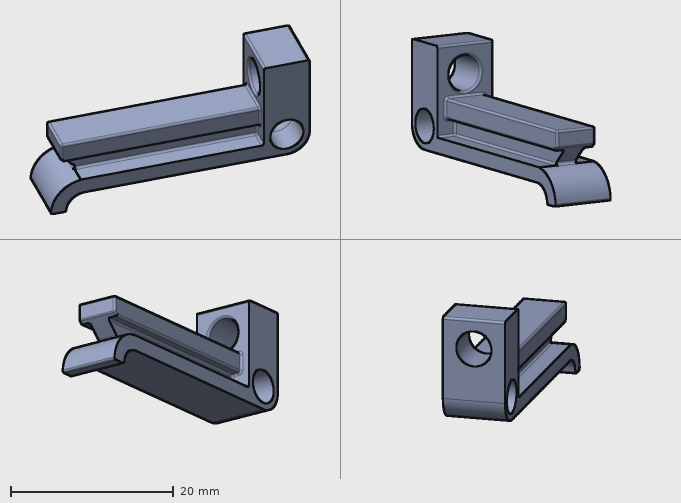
import cadquery as cq
import math

width = 8.0
block_depth = 6.0
block_height = 13.5
arm_thickness = 2.0
arm_end_y = -23.8
edge_radius = 0.3

hook_inner_radius = 2.39
hook_outer_radius = hook_inner_radius + arm_thickness
hook_tip_y = -27.69
hook_center_y = hook_tip_y + hook_outer_radius
hook_center_z = -hook_inner_radius

pin_diameter = 4.3
pin_center_y = block_depth / 2
pin_center_z = block_depth / 2
bore_diameter = 4.5
bore_center_z = 9.7

head_width = 5.6
head_top_z = 6.8
head_bottom_z = 4.2
stem_width = 2.8
stem_end_y = -23.7
rail_end_y = -26.0
undercut_top_z = 4.65
toe_overlap = 0.5

diagonal = math.sqrt(0.5)
tolerance = 0.01


def box(x_size, y_range, z_range):
    """Box centred on the mid plane, between two Y and two Z limits."""
    y_min, y_max = y_range
    z_min, z_max = z_range
    solid = cq.Workplane("XY").box(x_size, y_max - y_min, z_max - z_min, centered=(True, False, False))
    return solid.translate((0, y_min, z_min))


def hook_point(radius, angle):
    """(Y, Z) on a circle about the hook centre; angle in degrees from the tip toward the arm."""
    turn = math.radians(angle)
    return (hook_center_y - radius * math.cos(turn), hook_center_z + radius * math.sin(turn))


def make_body():
    """Block, arm and hook as one side outline, extruded across the width."""
    seam_angle = math.degrees(math.acos((hook_center_y - arm_end_y) / hook_outer_radius))
    corner_radius = pin_center_z
    corner_mid = corner_radius * (1 - diagonal)
    body = (
        cq.Workplane("YZ")
        .moveTo(0, arm_thickness)
        .lineTo(0, block_height)
        .lineTo(block_depth, block_height)
        .lineTo(block_depth, corner_radius)
        .threePointArc((block_depth - corner_mid, corner_mid), (block_depth - corner_radius, 0))
        .lineTo(*hook_point(hook_inner_radius, 90))
        .threePointArc(hook_point(hook_inner_radius, 45), hook_point(hook_inner_radius, 0))
        .lineTo(*hook_point(hook_outer_radius, 0))
        .threePointArc(
            hook_point(hook_outer_radius, seam_angle / 2),
            hook_point(hook_outer_radius, seam_angle),
        )
        .lineTo(arm_end_y, arm_thickness)
        .close()
        .extrude(width / 2, both=True)
    )
    body = body.faces(">Z").edges("|X").fillet(edge_radius)
    return body.faces("<Z").edges("|X").fillet(edge_radius)


def is_head_edge(edge):
    """True for the edges around the two sides and the free end of the rail head."""
    center = edge.Center()
    on_side = abs(abs(center.x) - head_width / 2) < tolerance
    on_end = abs(center.y - rail_end_y) < tolerance
    on_root = abs(center.y) < tolerance
    return (on_side or on_end) and not on_root


def make_rail():
    """T-shaped rail with a rounded head and a 45 degree undercut at its free end."""
    head = box(head_width, (rail_end_y, 0), (head_bottom_z, head_top_z))
    stem = box(stem_width, (rail_end_y, 0), (arm_thickness, head_bottom_z))
    undercut = (
        cq.Workplane("YZ")
        .moveTo(rail_end_y, undercut_top_z)
        .lineTo(stem_end_y, rail_end_y + undercut_top_z - stem_end_y)
        .lineTo(stem_end_y, arm_thickness)
        .lineTo(rail_end_y, arm_thickness)
        .close()
        .extrude(head_width, both=True)
    )
    rail = head.union(stem).cut(undercut)
    head_edges = [edge for edge in rail.edges().vals() if is_head_edge(edge)]
    return rail.newObject(head_edges).fillet(edge_radius)


def is_inner_corner(edge):
    """True for the concave edges around the rail: along the stem and where the rail meets the block."""
    center = edge.Center()
    bounds = edge.BoundingBox()
    runs_along_y = bounds.xlen < tolerance and bounds.zlen < tolerance
    beside_stem = runs_along_y and abs(abs(center.x) - stem_width / 2) < tolerance
    at_stem_level = any(abs(center.z - level) < tolerance for level in (arm_thickness, head_bottom_z))
    on_block = abs(center.y) < tolerance and bounds.ylen < tolerance
    around_rail = bounds.zmax < head_top_z + tolerance and abs(center.x) < width / 2 - tolerance
    return (beside_stem and at_stem_level) or (on_block and around_rail)


def join_rail(body, rail):
    """Set the rail on the arm and round every inner corner between them."""
    part = body.union(rail)
    inner_corners = [edge for edge in part.edges().vals() if is_inner_corner(edge)]
    return part.newObject(inner_corners).fillet(edge_radius)


def make_toe():
    """Rounded transition from the undercut down onto the hook, tangent to both."""
    center_sum = rail_end_y + undercut_top_z - edge_radius / diagonal
    center_distance = hook_outer_radius + edge_radius
    offset = (center_sum - hook_center_y - hook_center_z) / 2
    half_chord = math.sqrt(center_distance**2 / 2 - offset**2)
    center_y = hook_center_y + offset - half_chord
    center_z = hook_center_z + offset + half_chord
    center_angle = math.degrees(math.atan2(center_z - hook_center_z, hook_center_y - center_y))
    toe_top_y = center_y + edge_radius * diagonal
    toe_top_z = center_z + edge_radius * diagonal
    inside_y = toe_top_y + toe_overlap
    return (
        cq.Workplane("YZ")
        .moveTo(toe_top_y, toe_top_z)
        .threePointArc((center_y + edge_radius, center_z), hook_point(hook_outer_radius, center_angle))
        .lineTo(*hook_point(hook_outer_radius - toe_overlap, center_angle))
        .lineTo(inside_y, arm_thickness - toe_overlap)
        .lineTo(inside_y, toe_top_z - toe_overlap)
        .close()
        .extrude(stem_width / 2, both=True)
    )


def cut_holes(part):
    """Pin hole across the block, and a bore through its depth with a rounded front mouth."""
    pin_hole = cq.Workplane("YZ").center(pin_center_y, pin_center_z).circle(pin_diameter / 2)
    bore = cq.Workplane("XZ").center(0, bore_center_z).circle(bore_diameter / 2)
    part = part.cut(pin_hole.extrude(width, both=True)).cut(bore.extrude(-block_depth))
    mouth = cq.selectors.NearestToPointSelector((0, 0, bore_center_z))
    return part.edges("%CIRCLE").edges(mouth).fillet(edge_radius)


result = cut_holes(join_rail(make_body(), make_rail()).union(make_toe()))